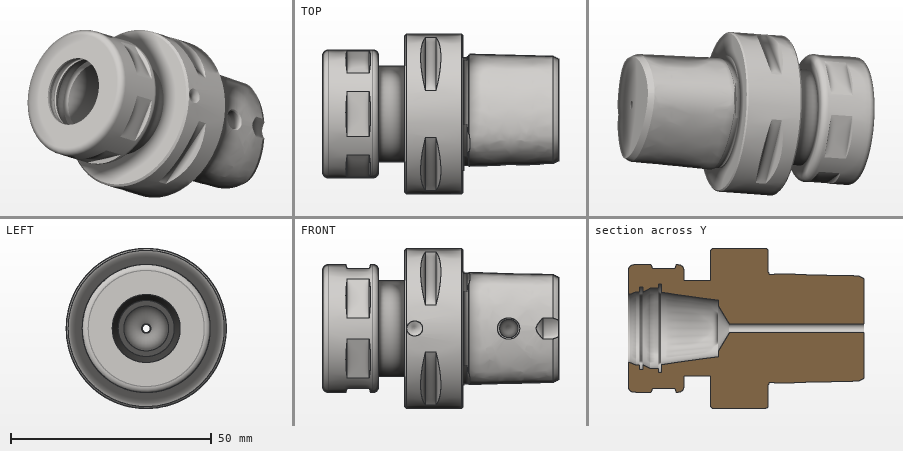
import cadquery as cq
import math


FRONT_X = -35.0
REAR_X = 24.0
NUT_LENGTH = 14.0
FLANGE_LENGTH = 14.5
NUT_REAR_X = FRONT_X + NUT_LENGTH
FLANGE_FRONT_X = -FLANGE_LENGTH

NUT_DIAMETER = 32.0
NUT_FILLET = 1.5
BODY_DIAMETER = 24.0
FLANGE_DIAMETER = 40.0
FLANGE_FRONT_CHAMFER = 0.5
FLANGE_REAR_CHAMFER = 0.35

NUT_FLAT_COUNT = 6
NUT_FLAT_DISTANCE = 15.0
NUT_FLAT_WIDTH = 5.5
NUT_FLAT_CENTER_X = FRONT_X + 8.9
NUT_FLAT_WALL_ANGLE = 20.0

NOTCH_COUNT = 4
NOTCH_DISTANCE = 17.65
NOTCH_WIDTH = 2.6
NOTCH_CENTER_X = FLANGE_FRONT_X + 6.5
NOTCH_WALL_ANGLE = 28.0

SHANK_RADIUS = 14.0
LOBE_HEIGHT = 0.95
LOBE_COUNT = 3
OUTLINE_SAMPLES = 72
TAPER_SLOPE = 1 / 40
SHANK_START_X = 1.6
SHANK_CHAMFER_LENGTH = 1.5
SHANK_CHAMFER_DEPTH = 0.75
NECK_INSET = 0.15
NECK_TURNED_RADIUS = 14.1
NECK_TURNED_END_X = 1.0
FACE_RING_HEIGHT = 0.3

DIMPLE_DIAMETER = 4.0
DIMPLE_X = FLANGE_FRONT_X + 2.5
SIDE_HOLE_DIAMETER = 4.6
SIDE_HOLE_MOUTH_DIAMETER = 5.6
SIDE_HOLE_X = 11.5
SIDE_HOLE_DEPTH = 3.0
DRILL_TIP_ANGLE = 118.0
KEYWAY_DIAMETER = 6.2
KEYWAY_AXIS_OFFSET = 14.05
KEYWAY_START_X = 20.0

LIP_DIAMETER = 17.0
LIP_END = 0.6
COLLET_RING_DIAMETER = 18.2
COLLET_RING_START = 2.0
COLLET_RING_END = 2.95
NUT_GROOVE_DIAMETER = 20.5
NUT_GROOVE_END = 3.65
INNER_RING_DIAMETER = 18.0
NUT_CHAMBER_DIAMETER = 20.0
NUT_CHAMBER_START = 5.6
NUT_CHAMBER_END = 7.7
GAP_DIAMETER = 22.0
COLLET_SEAT_START = 8.3
COLLET_SEAT_MOUTH_DIAMETER = 18.0
COLLET_SEAT_END_DIAMETER = 14.0
COLLET_SEAT_ANGLE = 8.0
BORE_TIP_DIAMETER = 11.2
COOLANT_MOUTH_DIAMETER = 2.31
COOLANT_DIAMETER = 2.0


def cone_length(large_diameter, small_diameter, half_angle):
    """Axial length of a cone between two diameters."""
    return (large_diameter - small_diameter) / 2 / math.tan(math.radians(half_angle))


def revolve_about_x(points):
    """Solid of revolution about the X axis from (x, radius) points."""
    return cq.Workplane("XY").polyline(points).close().revolve(360, (0, 0, 0), (1, 0, 0))


def revolve_about_y(points, center_x):
    """Solid of revolution about a line parallel to Y from (radius, y) points."""
    profile = cq.Workplane("XY").polyline(points).close()
    return profile.revolve(360, (0, 0, 0), (0, 1, 0)).translate((center_x, 0, 0))


def cylinder(start_x, end_x, diameter):
    return cq.Workplane("YZ", origin=(start_x, 0, 0)).circle(diameter / 2).extrude(end_x - start_x)


def polygon_wire(x, mean_radius):
    """Lobed outline whose tangent distance is mean_radius + LOBE_HEIGHT * cos(LOBE_COUNT * angle)."""

    def point(t):
        angle = 2 * math.pi * t
        support = mean_radius + LOBE_HEIGHT * math.cos(LOBE_COUNT * angle)
        slope = -LOBE_COUNT * LOBE_HEIGHT * math.sin(LOBE_COUNT * angle)
        return (
            support * math.cos(angle) - slope * math.sin(angle),
            support * math.sin(angle) + slope * math.cos(angle),
        )

    outline = cq.Workplane("YZ", origin=(x, 0, 0)).parametricCurve(point, N=OUTLINE_SAMPLES)
    return outline.wires().val()


def polygon_frustum(start_x, start_radius, end_x, end_radius):
    wires = [polygon_wire(start_x, start_radius), polygon_wire(end_x, end_radius)]
    return cq.Workplane(obj=cq.Solid.makeLoft(wires, True))


def make_shank():
    chamfer_x = REAR_X - SHANK_CHAMFER_LENGTH
    chamfer_radius = SHANK_RADIUS - TAPER_SLOPE * (chamfer_x - SHANK_START_X)
    cone = polygon_frustum(SHANK_START_X, SHANK_RADIUS, chamfer_x, chamfer_radius)
    tip = polygon_frustum(chamfer_x, chamfer_radius, REAR_X, chamfer_radius - SHANK_CHAMFER_DEPTH)
    neck_radius = SHANK_RADIUS - NECK_INSET
    neck_end_x = SHANK_START_X - NECK_INSET
    neck = polygon_frustum(0, neck_radius, neck_end_x, neck_radius)
    step = polygon_frustum(neck_end_x, neck_radius, SHANK_START_X, SHANK_RADIUS)

    clear_radius = FLANGE_DIAMETER / 2
    envelope = revolve_about_x([
        (0, 0),
        (0, NECK_TURNED_RADIUS),
        (NECK_TURNED_END_X, NECK_TURNED_RADIUS),
        (NECK_TURNED_END_X + clear_radius - NECK_TURNED_RADIUS, clear_radius),
        (REAR_X, clear_radius),
        (REAR_X, 0),
    ])
    face_ring = cylinder(0, FACE_RING_HEIGHT, 2 * NECK_TURNED_RADIUS)
    return neck.union(step).union(cone).union(tip).intersect(envelope).union(face_ring)


def rim_cutter(center_x, width, distance, outer_radius, wall_angle):
    """Cutter across the +Z side: flat floor at the given distance, sloped walls in X."""
    half_floor = width / 2
    top = outer_radius + half_floor
    half_top = half_floor + (top - distance) * math.tan(math.radians(wall_angle))
    return (
        cq.Workplane("XZ")
        .polyline([(-half_floor, distance), (half_floor, distance), (half_top, top), (-half_top, top)])
        .close()
        .extrude(outer_radius, both=True)
        .translate((center_x, 0, 0))
    )


def cut_around_axis(solid, cutter, count, first_angle):
    for index in range(count):
        angle = first_angle + index * 360 / count
        solid = solid.cut(cutter.rotate((0, 0, 0), (1, 0, 0), angle))
    return solid


def make_nut():
    nut = cylinder(FRONT_X, NUT_REAR_X, NUT_DIAMETER).edges().fillet(NUT_FILLET)
    cutter = rim_cutter(
        NUT_FLAT_CENTER_X, NUT_FLAT_WIDTH, NUT_FLAT_DISTANCE, NUT_DIAMETER / 2, NUT_FLAT_WALL_ANGLE
    )
    return cut_around_axis(nut, cutter, NUT_FLAT_COUNT, 0)


def make_flange():
    flange = cylinder(FLANGE_FRONT_X, 0, FLANGE_DIAMETER)
    flange = flange.faces("<X").edges().chamfer(FLANGE_FRONT_CHAMFER)
    flange = flange.faces(">X").edges().chamfer(FLANGE_REAR_CHAMFER)
    cutter = rim_cutter(
        NOTCH_CENTER_X, NOTCH_WIDTH, NOTCH_DISTANCE, FLANGE_DIAMETER / 2, NOTCH_WALL_ANGLE
    )
    return cut_around_axis(flange, cutter, NOTCH_COUNT, 180 / NOTCH_COUNT)


def make_bore():
    """Stepped bore: nut interior, 8 degree collet seat, drill tip and coolant hole."""
    seat_end = COLLET_SEAT_START + cone_length(
        COLLET_SEAT_MOUTH_DIAMETER, COLLET_SEAT_END_DIAMETER, COLLET_SEAT_ANGLE
    )
    tip_end = seat_end + cone_length(BORE_TIP_DIAMETER, COOLANT_MOUTH_DIAMETER, DRILL_TIP_ANGLE / 2)
    total_length = REAR_X - FRONT_X
    stations = [
        (0, 0),
        (0, LIP_DIAMETER),
        (LIP_END, LIP_DIAMETER),
        (COLLET_RING_START, COLLET_RING_DIAMETER),
        (COLLET_RING_END, COLLET_RING_DIAMETER),
        (COLLET_RING_END, NUT_GROOVE_DIAMETER),
        (NUT_GROOVE_END, NUT_GROOVE_DIAMETER),
        (NUT_GROOVE_END, INNER_RING_DIAMETER),
        (NUT_CHAMBER_START, NUT_CHAMBER_DIAMETER),
        (NUT_CHAMBER_END, NUT_CHAMBER_DIAMETER),
        (NUT_CHAMBER_END, GAP_DIAMETER),
        (COLLET_SEAT_START, GAP_DIAMETER),
        (COLLET_SEAT_START, COLLET_SEAT_MOUTH_DIAMETER),
        (seat_end, COLLET_SEAT_END_DIAMETER),
        (seat_end, BORE_TIP_DIAMETER),
        (tip_end, COOLANT_MOUTH_DIAMETER),
        (tip_end, COOLANT_DIAMETER),
        (total_length, COOLANT_DIAMETER),
        (total_length, 0),
    ]
    return revolve_about_x([(FRONT_X + depth, diameter / 2) for depth, diameter in stations])


def make_dimple():
    """Drill-point dimple in the flange rim."""
    depth = cone_length(DIMPLE_DIAMETER, 0, DRILL_TIP_ANGLE / 2)
    rim_y = -FLANGE_DIAMETER / 2
    points = [(0, rim_y - depth), (DIMPLE_DIAMETER, rim_y - depth), (0, rim_y + depth)]
    return revolve_about_y(points, DIMPLE_X)


def make_side_hole():
    """Blind hole into the shank with a 45 degree mouth and a drill tip."""
    surface_y = -(SHANK_RADIUS - LOBE_HEIGHT - TAPER_SLOPE * (SIDE_HOLE_X - SHANK_START_X))
    radius = SIDE_HOLE_DIAMETER / 2
    mouth_radius = SIDE_HOLE_MOUTH_DIAMETER / 2
    floor_y = surface_y + SIDE_HOLE_DEPTH
    points = [
        (0, surface_y - mouth_radius),
        (2 * mouth_radius, surface_y - mouth_radius),
        (radius, surface_y + mouth_radius - radius),
        (radius, floor_y),
        (0, floor_y + cone_length(SIDE_HOLE_DIAMETER, 0, DRILL_TIP_ANGLE / 2)),
    ]
    return revolve_about_y(points, SIDE_HOLE_X)


def make_keyway():
    """Round-bottomed keyway from the rear face, ending in a 90 degree cone."""
    radius = KEYWAY_DIAMETER / 2
    points = [
        (KEYWAY_START_X - radius, 0),
        (KEYWAY_START_X, radius),
        (REAR_X, radius),
        (REAR_X, 0),
    ]
    return revolve_about_x(points).translate((0, -KEYWAY_AXIS_OFFSET, 0))


body = cylinder(NUT_REAR_X - NUT_FILLET, FLANGE_FRONT_X, BODY_DIAMETER)
result = make_nut().union(body).union(make_flange()).union(make_shank())
result = result.cut(make_bore())
result = result.cut(make_dimple()).cut(make_side_hole()).cut(make_keyway())